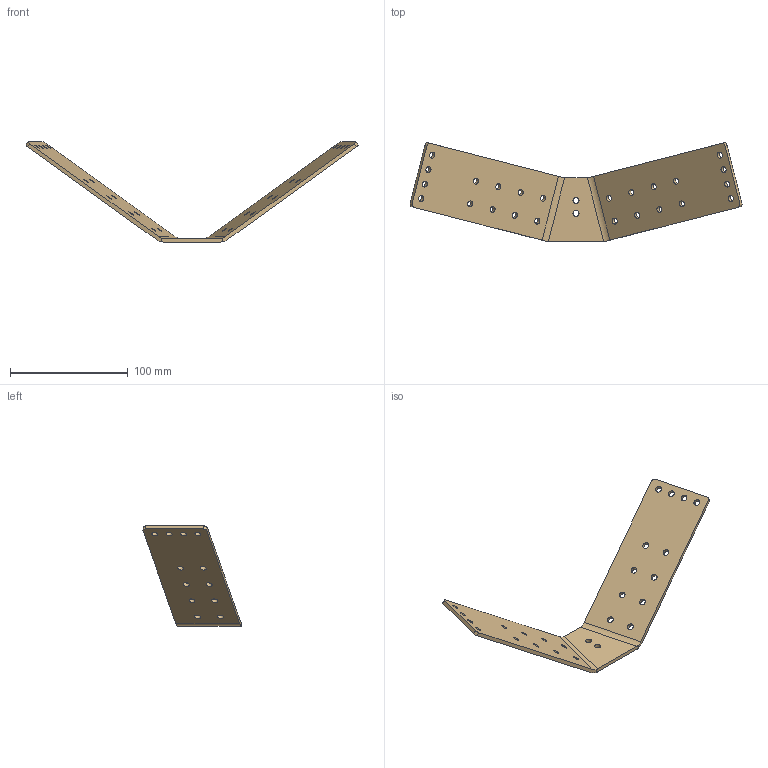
import cadquery as cq
import math

THICKNESS = 3.2
BEND_RADIUS = 9.4
BEND_ANGLE = 35.0
SKEW_ANGLE = 14.33

STRIP_WIDTH = 56.0
ARM_LENGTH = 140.0
BEND_START = 23.47
CORNER_OFFSET = 2.1
CORNER_RADIUS = 2.5

HOLE_DIAMETER = 5.15
BASE_HOLES_Y = (23.7, 34.7)
GRID_ALONG = 9.7
GRID_ALONG_PITCH = 24.0
GRID_ALONG_COUNT = 4
GRID_ACROSS = 14.7
GRID_ACROSS_PITCH = 20.0
GRID_ACROSS_COUNT = 2
END_ALONG = 132.4
END_ACROSS = 8.8
END_PITCH = 12.65
END_COUNT = 4

SIN_BEND = math.sin(math.radians(BEND_ANGLE))
COS_BEND = math.cos(math.radians(BEND_ANGLE))
SIN_SKEW = math.sin(math.radians(SKEW_ANGLE))
COS_SKEW = math.cos(math.radians(SKEW_ANGLE))
TAN_SKEW = SIN_SKEW / COS_SKEW

OUTER_RADIUS = BEND_RADIUS + THICKNESS
CORNER_X = BEND_START + CORNER_OFFSET
STRIP_CORNER_Y = -CORNER_OFFSET * SIN_SKEW * COS_SKEW
STRIP_CORNER_X = BEND_START - STRIP_CORNER_Y * TAN_SKEW
BACK_CORNER_X = STRIP_CORNER_X - STRIP_WIDTH * SIN_SKEW
BASE_DEPTH = STRIP_CORNER_Y + STRIP_WIDTH * COS_SKEW
OVERSIZE = 2 * ARM_LENGTH


def bend_point(radius, angle):
    """Point of the bend's section, in degrees of turn from the start of the bend."""
    turn = math.radians(angle)
    return (radius * math.sin(turn), OUTER_RADIUS - radius * math.cos(turn))


def place_on_bend_line(body):
    """Turn a body built along X so that its bend starts on the right-hand bend line."""
    turned = body.rotate((0, 0, 0), (0, 0, 1), SKEW_ANGLE)
    return turned.translate((STRIP_CORNER_X, STRIP_CORNER_Y, 0))


def make_folded_sheet():
    """Base, bend and arm as one folded section, wider than the part."""
    outer_end = bend_point(OUTER_RADIUS, BEND_ANGLE)
    inner_end = bend_point(BEND_RADIUS, BEND_ANGLE)
    run = ARM_LENGTH * COS_BEND
    rise = ARM_LENGTH * SIN_BEND
    section = (
        cq.Workplane("XZ")
        .moveTo(-OVERSIZE, 0)
        .lineTo(0, 0)
        .threePointArc(bend_point(OUTER_RADIUS, BEND_ANGLE / 2), outer_end)
        .line(run, rise)
        .lineTo(inner_end[0] + run, inner_end[1] + rise)
        .lineTo(*inner_end)
        .threePointArc(bend_point(BEND_RADIUS, BEND_ANGLE / 2), (0, THICKNESS))
        .lineTo(-OVERSIZE, THICKNESS)
        .close()
    )
    return place_on_bend_line(section.extrude(OVERSIZE, both=True))


def make_plan_prism():
    """Upright prism over the right half's plan: straight base edges, then a skewed strip."""
    reach_x = OVERSIZE * COS_SKEW
    reach_y = OVERSIZE * SIN_SKEW
    return (
        cq.Workplane("XY")
        .moveTo(0, 0)
        .lineTo(CORNER_X, 0)
        .lineTo(STRIP_CORNER_X + reach_x, STRIP_CORNER_Y + reach_y)
        .lineTo(BACK_CORNER_X + reach_x, BASE_DEPTH + reach_y)
        .lineTo(BACK_CORNER_X, BASE_DEPTH)
        .lineTo(0, BASE_DEPTH)
        .close()
        .extrude(OVERSIZE)
    )


def arm_hole_centres():
    """Hole centres as (distance from the bend, distance from the arm's front edge)."""
    grid = [
        (GRID_ALONG + i * GRID_ALONG_PITCH, GRID_ACROSS + j * GRID_ACROSS_PITCH)
        for i in range(GRID_ALONG_COUNT)
        for j in range(GRID_ACROSS_COUNT)
    ]
    end_row = [(END_ALONG, END_ACROSS + j * END_PITCH) for j in range(END_COUNT)]
    return grid + end_row


def make_arm_drills():
    """Pins through the right arm, square to its faces."""
    pins = cq.Workplane("XY").pushPoints(arm_hole_centres()).circle(HOLE_DIAMETER / 2).extrude(THICKNESS)
    bend_x, bend_z = bend_point(OUTER_RADIUS, BEND_ANGLE)
    tilted = pins.rotate((0, 0, 0), (0, 1, 0), -BEND_ANGLE).translate((bend_x, 0, bend_z))
    return place_on_bend_line(tilted)


def make_base_drills():
    """Pins through the base, on the part's centre line."""
    centres = [(0, y) for y in BASE_HOLES_Y]
    return cq.Workplane("XY").pushPoints(centres).circle(HOLE_DIAMETER / 2).extrude(THICKNESS)


def make_right_half():
    """Folded sheet cut to the plan outline, with rounded arm corners and arm holes."""
    arm_normal = cq.Vector(-SIN_BEND * COS_SKEW, -SIN_BEND * SIN_SKEW, COS_BEND)
    arm_direction = cq.Vector(COS_BEND * COS_SKEW, COS_BEND * SIN_SKEW, SIN_BEND)
    blank = make_folded_sheet().intersect(make_plan_prism())
    end_edges = blank.faces(cq.DirectionMinMaxSelector(arm_direction, True)).edges(
        cq.ParallelDirSelector(arm_normal, tolerance=0.001)
    )
    return end_edges.fillet(CORNER_RADIUS).cut(make_arm_drills())


right_half = make_right_half()
left_half = right_half.mirror("YZ")
result = right_half.union(left_half).cut(make_base_drills())